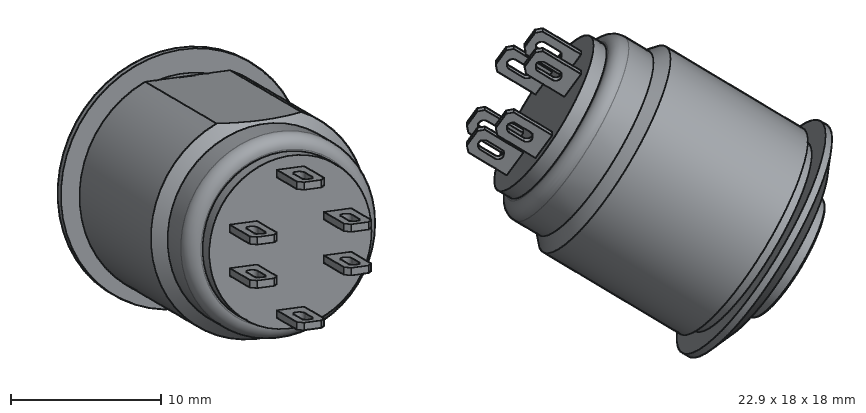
import cadquery as cq


overall_length = 22.9
flange_front = 1.37
flange_rim_front = 2.38
flange_back = 2.9
body_front = 3.66
body_chamfer_start = 14.63
collar_front = 15.43
collar_back = 18.43
base_back = 19.46

cap_diameter = 9.2
flange_face_diameter = 13.97
flange_diameter = 18.0
neck_diameter = 14.65
body_diameter = 15.98
collar_diameter = 14.3
base_diameter = 12.0

cap_chamfer = 0.1
collar_fillet = 1.0
flat_height = 7.35

terminal_width = 2.02
terminal_thickness = 0.53
terminal_corner = 0.37
terminal_row_y = 3.48
terminal_inner_z = 1.5
terminal_outer_z = 4.88
slot_length = 1.92
slot_width = 0.8
slot_end_margin = 0.55


def disc(start, end, diameter):
    """Cylinder on the X axis between two axial positions."""
    return cq.Workplane("YZ", origin=(start, 0, 0)).circle(diameter / 2).extrude(end - start)


def make_cap():
    cap = disc(0, flange_front, cap_diameter)
    return cap.faces("<X").edges().chamfer(cap_chamfer)


def make_flange():
    """Bezel with a conical front bevel and a thin cylindrical rim."""
    outline = [
        (flange_front, 0),
        (flange_front, flange_face_diameter / 2),
        (flange_rim_front, flange_diameter / 2),
        (flange_back, flange_diameter / 2),
        (flange_back, 0),
    ]
    return cq.Workplane("XY").polyline(outline).close().revolve(360, (0, 0, 0), (1, 0, 0))


def make_body():
    """Barrel tapering to the collar diameter at the rear, with one flat on top."""
    outline = [
        (body_front, 0),
        (body_front, body_diameter / 2),
        (body_chamfer_start, body_diameter / 2),
        (collar_front, collar_diameter / 2),
        (collar_front, 0),
    ]
    barrel = cq.Workplane("XY").polyline(outline).close().revolve(360, (0, 0, 0), (1, 0, 0))
    above_flat = (
        cq.Workplane("XY", origin=(0, 0, flat_height))
        .rect(2 * overall_length, body_diameter)
        .extrude(body_diameter)
    )
    return barrel.cut(above_flat)


def make_collar():
    collar = disc(collar_front, collar_back, collar_diameter)
    return collar.faces(">X").edges().fillet(collar_fillet)


def make_terminal(y, z):
    """Flat solder tab with clipped tip corners and an elongated hole."""
    slot_center = overall_length - slot_end_margin - slot_length / 2
    root = collar_back
    tab = (
        cq.Workplane("XY")
        .box(overall_length - root, terminal_width, terminal_thickness, centered=(False, True, True))
        .translate((root, 0, 0))
        .edges(">X and |Z")
        .chamfer(terminal_corner)
    )
    slot = (
        cq.Workplane("XY", origin=(slot_center, 0, 0))
        .slot2D(slot_length, slot_width)
        .extrude(terminal_thickness, both=True)
    )
    return tab.cut(slot).translate((0, y, z))


terminal_places = [(0, terminal_outer_z), (0, -terminal_outer_z)]
for side in (-1, 1):
    for level in (-1, 1):
        terminal_places.append((side * terminal_row_y, level * terminal_inner_z))

result = (
    make_cap()
    .union(make_flange())
    .union(disc(flange_back, body_front, neck_diameter))
    .union(make_body())
    .union(make_collar())
    .union(disc(collar_back, base_back, base_diameter))
)
for place_y, place_z in terminal_places:
    result = result.union(make_terminal(place_y, place_z))